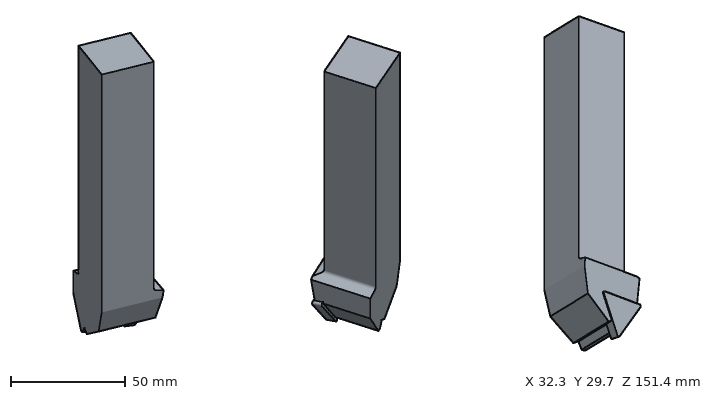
import cadquery as cq
import math

total_height = 151.4
shank = 25.0

head_left = -5.6
ledge_z = 30.0
ledge_angle = math.radians(15)
ledge_fillet = 1.5
flank_top_z = 18.0
nose_left = (2.5, 3.6)
nose_right = (4.4, 3.6)
notch_inner = (6.2, 7.1)
notch_outer = (9.0, 5.5)
heel = (21.6, 14.5)
heel_top_z = 26.6

rake_slope_x = 0.03
rake_slope_z = 0.15
rake_y = 24.4
head_depth_limit = 33.3

insert_side = 22.0
insert_nose_radius = 0.8
insert_thickness = 4.7
insert_proud = 0.6
insert_tip_x = 3.2

ledge_slope = math.tan(ledge_angle)
ledge_root_z = ledge_z - head_left * ledge_slope


def rake_plane(x, z):
    """Plane on the rake face at the given X and Z, with its normal out of the head."""
    origin = (x, rake_y + rake_slope_x * x + rake_slope_z * z, z)
    return cq.Plane(
        origin=origin,
        xDir=(1, rake_slope_x, 0),
        normal=(-rake_slope_x, 1, -rake_slope_z),
    )


def extrude_along_y(points, depth):
    return cq.Workplane("XZ").polyline(points).close().extrude(-depth)


def make_side_profile():
    """Shank and head outline in XZ, with the left ledge filleted into the shank."""
    outline = [
        (0, total_height),
        (0, ledge_root_z),
        (head_left, ledge_z),
        (head_left, flank_top_z),
        nose_left,
        nose_right,
        notch_inner,
        notch_outer,
        heel,
        (shank, heel_top_z),
        (shank, total_height),
    ]
    root_edge = cq.selectors.NearestToPointSelector((0, head_depth_limit / 2, ledge_root_z))
    return extrude_along_y(outline, head_depth_limit).edges(root_edge).fillet(ledge_fillet)


def make_depth_profile():
    """Shank and head outline in YZ, with a ledge like the left one on the +Y side."""
    outer_z = ledge_root_z - (head_depth_limit - shank) * ledge_slope
    outline = [
        (0, 0),
        (head_depth_limit, 0),
        (head_depth_limit, outer_z),
        (shank, ledge_root_z),
        (shank, total_height),
        (0, total_height),
    ]
    block = (
        cq.Workplane("YZ", origin=(head_left, 0, 0))
        .polyline(outline)
        .close()
        .extrude(shank - head_left)
    )
    root_edge = cq.selectors.NearestToPointSelector((shank / 2, shank, ledge_root_z))
    return block.edges(root_edge).fillet(ledge_fillet)


def make_rake_cutter():
    """Block that removes everything in front of the rake face, below the shank."""
    cutter_size = 2 * total_height
    in_front = (
        cq.Workplane(rake_plane(0, 0))
        .rect(cutter_size, cutter_size)
        .extrude(head_depth_limit)
    )
    below_shank = cq.Workplane("XY").box(
        cutter_size, cutter_size, ledge_root_z + ledge_fillet, centered=(True, True, False)
    )
    return in_front.intersect(below_shank)


def make_insert():
    """Rounded triangle on the tilted face, one corner down, its lowest point at Z = 0."""
    corner_radius = insert_side / math.sqrt(3)
    tip_reach = corner_radius - insert_nose_radius
    tilt = math.atan(rake_slope_z)
    centre_z = tip_reach * math.cos(tilt) + insert_proud * math.sin(tilt)
    corners = [
        (corner_radius * math.cos(angle), corner_radius * math.sin(angle))
        for angle in (math.radians(90 + 120 * i) for i in range(3))
    ]
    face = rake_plane(insert_tip_x, centre_z)
    corner_edges = cq.selectors.ParallelDirSelector(face.zDir)
    return (
        cq.Workplane(face)
        .workplane(offset=insert_proud)
        .polyline(corners)
        .close()
        .extrude(-insert_thickness)
        .edges(corner_edges)
        .fillet(insert_nose_radius)
    )


cutting_insert = make_insert()
holder = make_side_profile().intersect(make_depth_profile())
holder = holder.cut(make_rake_cutter()).cut(cutting_insert)

result = cq.Compound.makeCompound([holder.val(), cutting_insert.val()])